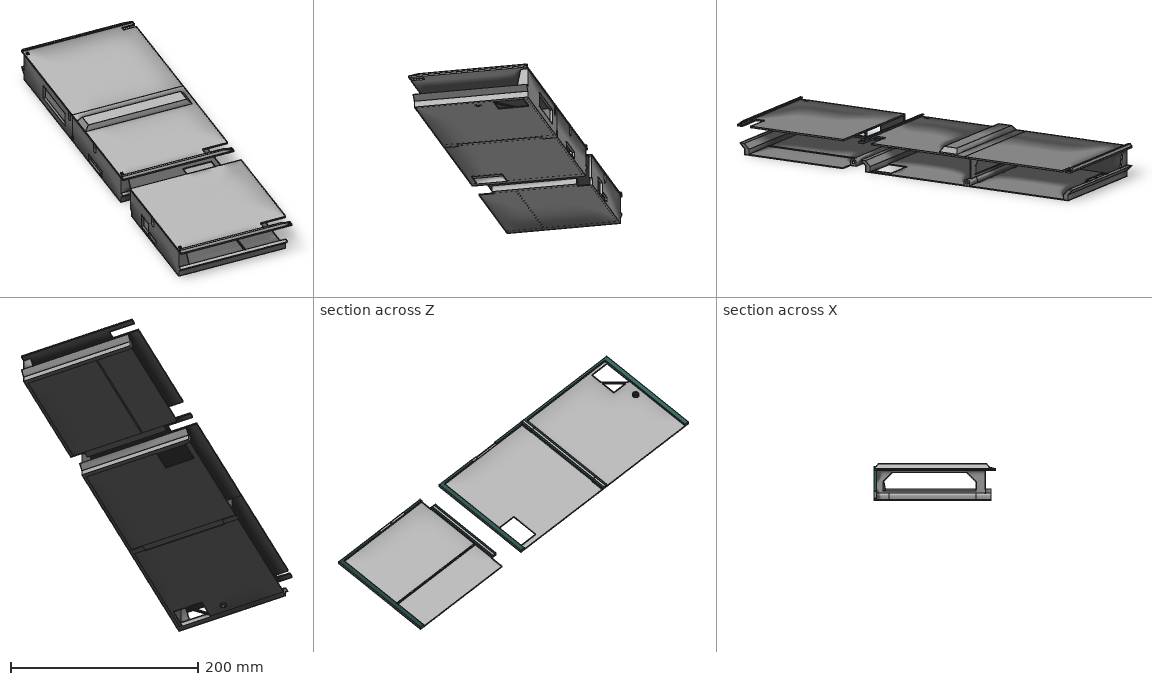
import cadquery as cq
TOTAL_LENGTH = 412.0
LID_LENGTH = 131.0
LID_DEPTH = 130.0
LID_THICKNESS = 1.5
OVERHANG = 5.8
TRAY_SIDE = LID_LENGTH - OVERHANG
TRAY_HEIGHT = 32.0
FRONT_WALL = 3.0
SIDE_WALL = 1.5
FLOOR = 1.0

LEFT_END = OVERHANG
SEAM = LID_LENGTH
RIGHT_START = TOTAL_LENGTH - LID_LENGTH

LIP_HEIGHT = 12.5
LIP_BEND_HEIGHT = 6.5
LIP_THICKNESS = 5.5
GUSSET_TOP = 8.2
GUSSET_BASE = 12.5

KNUCKLE_RADIUS = 3.5
KNUCKLE_AXIS_HEIGHT = 4.0
PIN_HOLE_DIAMETER = 3.0
KNUCKLE_START = 16.0
KNUCKLE_END = 109.0

PORTAL_DEPTH = 119.0
PORTAL_POST = 10.0
PORTAL_SILL = 10.0
PORTAL_TOP = 29.5

NOTCH_BOTTOM = 22.0
NARROW_NOTCH = 5.0
WIDE_NOTCH = 6.5
LEFT_NOTCH_X = 123.5
NOTCH_FROM_HINGE = 57.5

DISPLAY_X = (56.0, 112.5)
DISPLAY_Z = (7.5, 23.5)
MIDDLE_PORT_X = (173.0, 208.0)
MIDDLE_PORT_Z = (1.2, 9.5)
STEP_LENGTH = 6.5
STEP_HEIGHT = 1.2
RIGHT_PORT_X = (309.5, 328.0)
RIGHT_PORT_Z = (3.0, 18.0)
CARD_SLOT_LENGTH = 18.5
CARD_SLOT_HEIGHT = 5.5
CARD_SLOT_CENTRE_X = 338.3
CARD_SLOT_CENTRE_Z = RIGHT_PORT_Z[0] + CARD_SLOT_HEIGHT / 2

HOOK_HEIGHT = 2.5
HOOK_WIDTH = 2.5
HOOK_LEAN = 1.85
HOOK_RAMP = 10.0

RELIEF_WIDE = 10.5
RELIEF_DEPTH = 29.5
LEFT_RELIEF_WIDE = 4.5
LEFT_RELIEF_DEPTH = 15.0
SLOT_LENGTH = 3.7
SLOT_WIDTH = 2.5
SLOT_FRONT = 2.5
LEFT_SLOT_INSET = 5.8
RIGHT_SLOT_INSET = 8.5

HANDLE_START = 143.0
HANDLE_WIDTH = 22.2
HANDLE_HEIGHT = 5.5
HANDLE_SIDE_SLOPE = 3.5
HANDLE_END_SLOPE = 5.0

BOSS_DIAMETER = 7.0
BOSS_BORE = 3.5
BOSS_HEIGHT = 5.0
BOSS_X = 19.8
BOSS_Y = 58.5

OPENING_FROM_END = LIP_THICKNESS
OPENING_FROM_SIDE = 6.0
OPENING_LENGTH = 33.5
OPENING_WIDTH = 22.5
STRUT_WIDTH = 2.0
STRUT_ANGLE = 45
STRUT_X = 20.5
STRUT_Y = 34.0

RIB_Y = 83.0
RIB_WIDTH = 1.5
RIB_TOP = 1.5


def box(x0, x1, y0, y1, z0, z1):
    return cq.Workplane("XY").box(x1 - x0, y1 - y0, z1 - z0, centered=False).translate((x0, y0, z0))


def along_y(profile, y0, y1):
    """Extrude a closed XZ profile from y0 to y1."""
    return profile.extrude(y0 - y1).translate((0, y0, 0))


def window(x_limits, z_limits):
    """Rectangular cutter through the front wall."""
    return box(*x_limits, 0, FRONT_WALL, *z_limits)


def top_notch(x, width):
    """U-shaped cutter open at the top of the front wall."""
    radius = width / 2
    profile = (
        cq.Workplane("XZ")
        .moveTo(x - radius, TRAY_HEIGHT)
        .lineTo(x - radius, NOTCH_BOTTOM + radius)
        .threePointArc((x, NOTCH_BOTTOM), (x + radius, NOTCH_BOTTOM + radius))
        .lineTo(x + radius, TRAY_HEIGHT)
        .close()
    )
    return along_y(profile, 0, FRONT_WALL)


def knuckle(x, y0, y1):
    """Arch-topped hinge block standing on the underside plane."""
    profile = (
        cq.Workplane("XZ")
        .moveTo(x - KNUCKLE_RADIUS, 0)
        .lineTo(x - KNUCKLE_RADIUS, KNUCKLE_AXIS_HEIGHT)
        .threePointArc(
            (x, KNUCKLE_AXIS_HEIGHT + KNUCKLE_RADIUS),
            (x + KNUCKLE_RADIUS, KNUCKLE_AXIS_HEIGHT),
        )
        .lineTo(x + KNUCKLE_RADIUS, 0)
        .close()
    )
    return along_y(profile, y0, y1)


def pin_hole(x):
    profile = cq.Workplane("XZ").center(x, KNUCKLE_AXIS_HEIGHT).circle(PIN_HOLE_DIAMETER / 2)
    return along_y(profile, 0, TRAY_SIDE)


def centre_knuckle(x):
    return knuckle(x, KNUCKLE_START, KNUCKLE_END)


def end_knuckles(x):
    return knuckle(x, 0, KNUCKLE_START).union(knuckle(x, KNUCKLE_END, TRAY_SIDE))


def lip(end, outward):
    """Low wall at a tray end that flares outward; outward is +1 or -1 along X."""
    points = [
        (0, 0),
        (0, LIP_BEND_HEIGHT),
        (OVERHANG, LIP_HEIGHT),
        (OVERHANG - LIP_THICKNESS, LIP_HEIGHT),
        (-LIP_THICKNESS, LIP_BEND_HEIGHT),
        (-LIP_THICKNESS, 0),
    ]
    profile = cq.Workplane("XZ").polyline([(end + outward * x, z) for x, z in points]).close()
    return along_y(profile, 0, TRAY_SIDE)


def gusset(end, outward):
    """Corner plate between the front wall and the lip, with a sloping rear edge."""
    profile = (
        cq.Workplane("YZ")
        .polyline([
            (0, 0),
            (GUSSET_BASE, 0),
            (GUSSET_BASE, LIP_HEIGHT),
            (GUSSET_TOP, TRAY_HEIGHT),
            (0, TRAY_HEIGHT),
        ])
        .close()
    )
    return profile.extrude(-outward * SIDE_WALL).translate((end, 0, 0))


def tray_shell(start, outward):
    """Floor, front wall, lip and gusset of a tray; outward points to the lip end."""
    stop = start + TRAY_SIDE
    lip_end = stop if outward > 0 else start
    return (
        box(start, stop, 0, TRAY_SIDE, 0, FLOOR)
        .union(box(start, stop, 0, FRONT_WALL, 0, TRAY_HEIGHT))
        .union(lip(lip_end, outward))
        .union(gusset(lip_end, outward))
    )


def portal_wall():
    """Wall at the seam with a large opening whose top corners are chamfered."""
    opening = (
        cq.Workplane("YZ")
        .polyline([
            (PORTAL_POST, PORTAL_SILL),
            (PORTAL_POST, PORTAL_TOP - PORTAL_POST),
            (2 * PORTAL_POST, PORTAL_TOP),
            (PORTAL_DEPTH - 2 * PORTAL_POST, PORTAL_TOP),
            (PORTAL_DEPTH - PORTAL_POST, PORTAL_TOP - PORTAL_POST),
            (PORTAL_DEPTH - PORTAL_POST, PORTAL_SILL),
        ])
        .close()
        .extrude(-SIDE_WALL)
        .translate((SEAM, 0, 0))
    )
    return box(SEAM - SIDE_WALL, SEAM, 0, PORTAL_DEPTH, 0, TRAY_HEIGHT).cut(opening)


def strutted_opening():
    """Cutter for the left floor opening, crossed by a diagonal strut of floor."""
    x0 = LEFT_END + OPENING_FROM_END
    y0 = OPENING_FROM_SIDE
    opening = box(x0, x0 + OPENING_WIDTH, y0, y0 + OPENING_LENGTH, 0, FLOOR)
    strut = (
        cq.Workplane("XY")
        .rect(STRUT_WIDTH, 4 * OPENING_LENGTH)
        .extrude(FLOOR)
        .rotate((0, 0, 0), (0, 0, 1), STRUT_ANGLE)
        .translate((STRUT_X, STRUT_Y, 0))
    )
    return opening.cut(strut)


def make_left_tray():
    boss = cq.Workplane("XY").center(BOSS_X, BOSS_Y).circle(BOSS_DIAMETER / 2).extrude(BOSS_HEIGHT)
    bore = cq.Workplane("XY").center(BOSS_X, BOSS_Y).circle(BOSS_BORE / 2).extrude(BOSS_HEIGHT)
    return (
        tray_shell(LEFT_END, -1)
        .union(portal_wall())
        .cut(centre_knuckle(SEAM))
        .union(end_knuckles(SEAM))
        .cut(pin_hole(SEAM))
        .union(boss)
        .cut(bore)
        .cut(strutted_opening())
        .cut(window(DISPLAY_X, DISPLAY_Z))
        .cut(top_notch(LEFT_NOTCH_X, NARROW_NOTCH))
    )


def hinged_tray(hinge):
    """Tray with its centre knuckle on the hinge line at its -X end."""
    notch_x = hinge + NOTCH_FROM_HINGE
    return (
        tray_shell(hinge, 1)
        .cut(end_knuckles(hinge))
        .union(centre_knuckle(hinge))
        .cut(pin_hole(hinge))
        .cut(top_notch(notch_x, WIDE_NOTCH))
    )


def make_middle_tray():
    x1 = MIDDLE_PORT_X[1]
    z0 = MIDDLE_PORT_Z[0]
    step = box(x1 - STEP_LENGTH, x1, 0, FRONT_WALL, z0, z0 + STEP_HEIGHT)
    port = window(MIDDLE_PORT_X, MIDDLE_PORT_Z).cut(step)

    opening_x1 = SEAM + TRAY_SIDE - OPENING_FROM_END
    opening_y1 = TRAY_SIDE - OPENING_FROM_SIDE
    floor_opening = box(
        opening_x1 - OPENING_WIDTH, opening_x1, opening_y1 - OPENING_LENGTH, opening_y1, 0, FLOOR
    )
    return hinged_tray(SEAM).cut(port).cut(floor_opening)


def make_right_tray():
    card_slot_profile = (
        cq.Workplane("XZ")
        .center(CARD_SLOT_CENTRE_X, CARD_SLOT_CENTRE_Z)
        .slot2D(CARD_SLOT_LENGTH, CARD_SLOT_HEIGHT)
    )
    card_slot = along_y(card_slot_profile, 0, FRONT_WALL)
    rib = box(
        RIGHT_START + KNUCKLE_RADIUS,
        RIGHT_START + TRAY_SIDE - LIP_THICKNESS,
        RIB_Y,
        RIB_Y + RIB_WIDTH,
        FLOOR,
        RIB_TOP,
    )
    return (
        hinged_tray(RIGHT_START)
        .cut(window(RIGHT_PORT_X, RIGHT_PORT_Z))
        .cut(card_slot)
        .union(rib)
    )


def lid(edge, outward, relief_width, relief_depth, slot_inset):
    """Lid whose hooked overhanging edge is at x = edge and faces outward (+1 or -1)."""
    top = TRAY_HEIGHT + LID_THICKNESS

    def span(inset0, inset1, y0, y1):
        """Lid-thick block between two distances inward from the hooked edge."""
        x0, x1 = sorted([edge - outward * inset0, edge - outward * inset1])
        return box(x0, x1, y0, y1, TRAY_HEIGHT, top)

    plate = span(0, LID_LENGTH, 0, LID_DEPTH)
    relief = span(OVERHANG, OVERHANG + relief_width, LID_DEPTH - relief_depth, LID_DEPTH)
    slot = span(slot_inset, slot_inset + SLOT_LENGTH, SLOT_FRONT, SLOT_FRONT + SLOT_WIDTH)

    hook_points = [
        (0, 0),
        (HOOK_WIDTH, 0),
        (HOOK_WIDTH + HOOK_LEAN, HOOK_HEIGHT),
        (HOOK_LEAN, HOOK_HEIGHT),
    ]
    hook_outline = [(edge - outward * x, top + z) for x, z in hook_points]
    hook_profile = cq.Workplane("XZ").polyline(hook_outline).close()
    ramp_cut = (
        cq.Workplane("YZ")
        .polyline([
            (LID_DEPTH - HOOK_RAMP, top + HOOK_HEIGHT),
            (LID_DEPTH, top + HOOK_HEIGHT),
            (LID_DEPTH, top),
        ])
        .close()
        .extrude(OVERHANG)
        .translate((min(edge, edge - outward * OVERHANG), 0, 0))
    )
    hook = along_y(hook_profile, 0, LID_DEPTH).cut(ramp_cut)
    return plate.cut(relief).cut(slot).union(hook)


def handle():
    """Tapered grip on the middle lid."""
    foot = TRAY_HEIGHT + LID_THICKNESS
    centre = (HANDLE_START + HANDLE_WIDTH / 2, TRAY_SIDE / 2, foot)
    return (
        cq.Workplane("XY")
        .rect(HANDLE_WIDTH, TRAY_SIDE)
        .workplane(offset=HANDLE_HEIGHT)
        .rect(HANDLE_WIDTH - 2 * HANDLE_SIDE_SLOPE, TRAY_SIDE - 2 * HANDLE_END_SLOPE)
        .loft()
        .translate(centre)
    )


left_tray = make_left_tray()
middle_tray = make_middle_tray()
right_tray = make_right_tray()
left_lid = lid(0, -1, LEFT_RELIEF_WIDE, LEFT_RELIEF_DEPTH, LEFT_SLOT_INSET)
middle_lid = lid(2 * LID_LENGTH, 1, RELIEF_WIDE, RELIEF_DEPTH, RIGHT_SLOT_INSET).union(handle())
right_lid = lid(TOTAL_LENGTH, 1, RELIEF_WIDE, RELIEF_DEPTH, RIGHT_SLOT_INSET)

bodies = [left_tray, middle_tray, right_tray, left_lid, middle_lid, right_lid]
result = cq.Compound.makeCompound([body.val() for body in bodies])